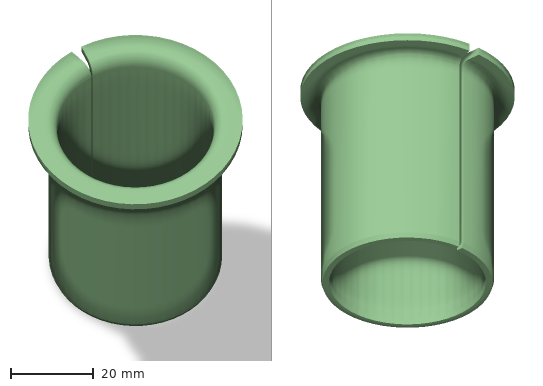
import cadquery as cq
import math

height = 55
flange_diameter = 52.0
body_diameter = 42.0
wall = 2.0
inner_bend_radius = 3.45
chamfer_height = 1.2
chamfer_width = 0.45
bore_gap = 0.45
rim_gap = 2.85

flange_radius = flange_diameter / 2
body_radius = body_diameter / 2
bore_radius = body_radius - wall
outer_bend_radius = inner_bend_radius - wall
bend_center_radius = bore_radius + inner_bend_radius
bend_center_z = height - inner_bend_radius
diagonal = math.sqrt(0.5)


def make_bushing():
    """Flanged tube of constant wall, revolved about Z."""
    inner_mid = (
        bend_center_radius - inner_bend_radius * diagonal,
        bend_center_z + inner_bend_radius * diagonal,
    )
    outer_mid = (
        bend_center_radius - outer_bend_radius * diagonal,
        bend_center_z + outer_bend_radius * diagonal,
    )
    profile = (
        cq.Workplane("XZ")
        .moveTo(bore_radius, 0)
        .lineTo(bore_radius, bend_center_z)
        .threePointArc(inner_mid, (bend_center_radius, height))
        .lineTo(flange_radius, height)
        .lineTo(flange_radius, height - wall)
        .lineTo(bend_center_radius, height - wall)
        .threePointArc(outer_mid, (body_radius, bend_center_z))
        .lineTo(body_radius, chamfer_height)
        .lineTo(body_radius - chamfer_width, 0)
        .close()
    )
    return profile.revolve(360, (0, 0, 0), (0, 1, 0))


def make_seam():
    """Cutter on the -X side: a wedge through the wall and flange, widening outward."""
    overrun = 0.55
    half_slope = (rim_gap - bore_gap) / 2 / (flange_radius - bore_radius)
    inner_half = bore_gap / 2 - half_slope * overrun
    outer_half = rim_gap / 2 + half_slope * overrun
    inner_x = -(bore_radius - overrun)
    outer_x = -(flange_radius + overrun)
    return (
        cq.Workplane("XY")
        .polyline([
            (inner_x, -inner_half),
            (outer_x, -outer_half),
            (outer_x, outer_half),
            (inner_x, inner_half),
        ])
        .close()
        .extrude(height)
    )


result = make_bushing().cut(make_seam())